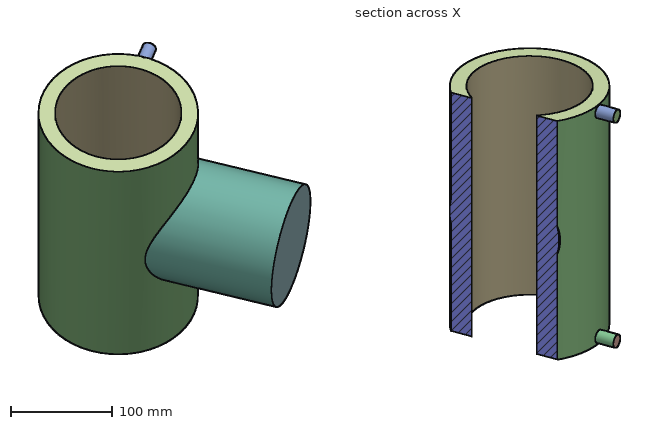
import cadquery as cq

overall_length = 259.0
overall_width = 178.5

pipe_height = 268.0
pipe_diameter = 158.0
bore_diameter = 125.2

branch_diameter = bore_diameter
branch_end_x = overall_length - pipe_diameter / 2

pin_diameter = 14.0
pin_end_y = overall_width - pipe_diameter / 2
pin_end_gap = 0.8
pin_inset = pin_end_gap + pin_diameter / 2


def upright_cylinder(diameter):
    return cq.Workplane("XY").circle(diameter / 2).extrude(pipe_height)


def side_branch():
    return (
        cq.Workplane("YZ")
        .center(0, pipe_height / 2)
        .circle(branch_diameter / 2)
        .extrude(branch_end_x)
    )


def pin(height):
    return cq.Workplane("XZ").center(0, height).circle(pin_diameter / 2).extrude(-pin_end_y)


body = upright_cylinder(pipe_diameter).union(side_branch())
for height in (pin_inset, pipe_height - pin_inset):
    body = body.union(pin(height))

result = body.cut(upright_cylinder(bore_diameter))